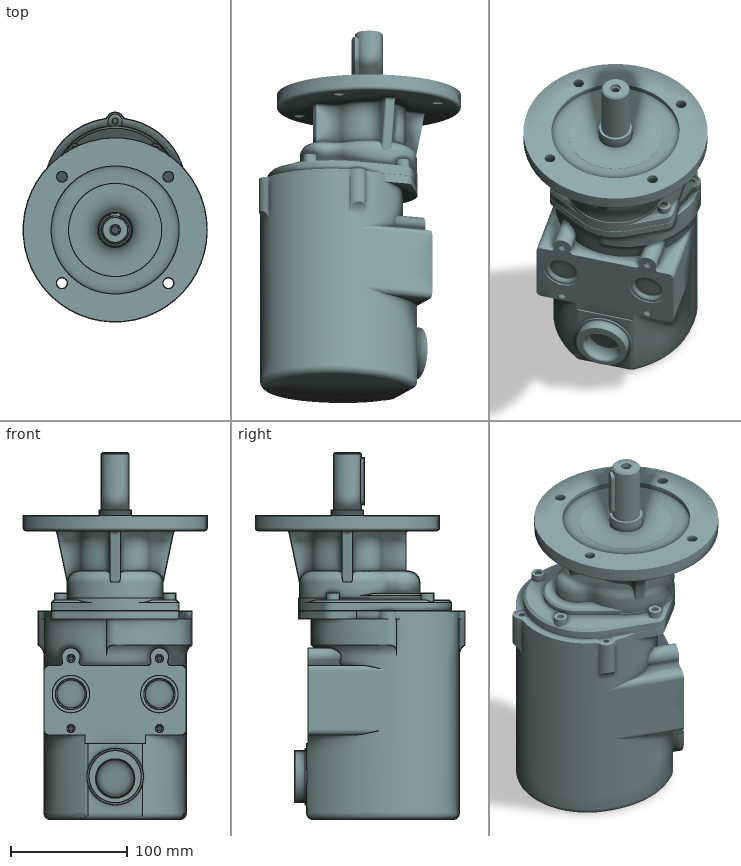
import cadquery as cq
import math

tolerance = 0.03

shaft_dia = 24.0
collar_dia = 28.0
shaft_top = 315.0
collar_top = 265.5
shaft_chamfer = 1.3
centre_hole_dia = 6.5
centre_hole_mouth = 9.0
centre_hole_mouth_depth = 2.5
centre_hole_depth = 15.8
key_width = 8.8
key_height_y = 14.5
key_bottom = 270.0
key_top = 310.5

flange_dia = 158.0
flange_top = 260.8
flange_bottom = 248.0
flange_edge_round = 2.5
spigot_dia = 110.0
spigot_depth = 4.7
seal_dia = 80.0
seal_height = 0.3
seal_gap_dia = 30.0
seal_gap_depth = 2.0
mount_hole_dia = 9.0
mount_hole_offset = 45.7

neck_radius = 31.0
neck_fillet = 10.0
rib_width = 8.8
rib_reach_top = 50.5
rib_reach_low = 41.3
rib_bottom = 204.0
rib_edge_round = 1.5
rib_root_fillet = 2.0

head_radius = 41.3
head_top = 213.3
head_round = 10.0
lobe_radius = 19.2
lobe_y = 43.0
lobe_blend = 10.0
pad_lobe_radius = 29.5
pad_top = 194.0
pad_chamfer = 1.5
nose_radius = 42.0
nose_top = 190.3

drum_y = 35.0
drum_radius = 61.0
drum_top = 179.0
rim_bottom = 172.3
cover_radius = 54.5
cover_top = 188.5
gasket_height = 0.5
gasket_inset = 0.3
cover_chamfer = 2.2
corner_radius = 8.2
corner_x = 46.5
corner_y = -12.3
cover_screws = [(-corner_x, corner_y), (corner_x, corner_y), (-34.5, 68.7), (34.5, 68.7)]
screw_head_dia = 11.0
screw_head_top = 194.5
socket_width = 6.0
socket_depth = 2.8

lug_radius = 7.5
lug_reach = 66.0
lug_bottom = 150.0
lug_foot_fillet = 10.0
lug_rim_blend = 5.0
lug_hole_dia = 5.0
lug_hole_depth = 3.0
lug_spot_dia = 12.0
lug_spot_depth = 1.0

block_front = -34.0
block_bottom = 72.5
block_top = 132.3
block_corner = 4.7
ear_radius = 8.0
ear_z = 139.5
ear_blend = 3.0
port_x = 37.95
port_z = 107.7
port_mouth_dia = 32.0
port_mouth_depth = 1.0
port_dia = 24.3
port_rim_dia = 26.8
port_depth = 4.7
tapped_hole_dia = 4.5
tapped_hole_mouth = 7.0
tapped_hole_depth = 12.5
tapped_hole_low_z = 78.0
tapped_hole_high_z = 138.3

connector_front = -35.0
connector_half_width = 25.8
connector_edge_width = 2.5
connector_top = 65.2
side_flat_y = 30.5
base_round = 5.7

ring_z = 37.0
ring_front = -45.5
ring_dia = 44.7
ring_foot_dia = 48.5
ring_foot_height = 1.3
ring_bore_z = 35.3
ring_bore_dia = 32.0
ring_bore_mouth = 33.7
ring_bore_depth = 15.8


def disc(x, y, radius, bottom, top):
    """Upright cylinder."""
    return cq.Workplane("XY", origin=(x, y, bottom)).circle(radius).extrude(top - bottom)


def belt(first, first_radius, second, second_radius, bottom, top):
    """Upright prism around two circles and their outer tangent lines."""
    dx = second[0] - first[0]
    dy = second[1] - first[1]
    heading = math.atan2(dy, dx)
    spread = math.acos((first_radius - second_radius) / math.hypot(dx, dy))

    def touch(centre, radius, angle):
        return (centre[0] + radius * math.cos(angle), centre[1] + radius * math.sin(angle))

    left, right = heading + spread, heading - spread
    outline = (
        cq.Workplane("XY", origin=(0, 0, bottom))
        .moveTo(*touch(first, first_radius, right))
        .lineTo(*touch(second, second_radius, right))
        .threePointArc(touch(second, second_radius, heading), touch(second, second_radius, left))
        .lineTo(*touch(first, first_radius, left))
        .threePointArc(touch(first, first_radius, heading + math.pi), touch(first, first_radius, right))
        .close()
    )
    return outline.extrude(top - bottom)


def distance_from_axis(edge):
    """Distance of an edge's middle from the Z axis."""
    return math.hypot(edge.Center().x, edge.Center().y)


def front_disc(x, z, dia, y_front, depth):
    """Cylinder along Y that starts at y_front and runs towards +Y."""
    return cq.Workplane("XZ", origin=(x, y_front, z)).circle(dia / 2).extrude(-depth)


def front_cone(x, z, mouth_dia, bore_dia, y_front):
    """45 degree countersink along +Y."""
    depth = (mouth_dia - bore_dia) / 2
    cone = cq.Solid.makeCone(mouth_dia / 2, bore_dia / 2, depth, cq.Vector(x, y_front, z), cq.Vector(0, 1, 0))
    return cq.Workplane(cone)


def make_shaft():
    collar = disc(0, 0, collar_dia / 2, flange_bottom, collar_top)
    shaft = disc(0, 0, shaft_dia / 2, collar_top, shaft_top).faces(">Z").chamfer(shaft_chamfer)
    shaft = shaft.cut(disc(0, 0, centre_hole_mouth / 2, shaft_top - centre_hole_mouth_depth, shaft_top))
    shaft = shaft.cut(disc(0, 0, centre_hole_dia / 2, shaft_top - centre_hole_depth, shaft_top))
    key = (
        cq.Workplane("XZ", origin=(0, key_height_y, (key_bottom + key_top) / 2))
        .slot2D(key_top - key_bottom, key_width, 90)
        .extrude(key_height_y - centre_hole_mouth / 2)
    )
    return collar.union(shaft).union(key)


def make_flange():
    flange = disc(0, 0, flange_dia / 2, flange_bottom, flange_top)
    flange = flange.faces("<Z").edges().fillet(flange_edge_round)
    spigot_floor = flange_top - spigot_depth
    seal_top = spigot_floor + seal_height
    flange = flange.cut(disc(0, 0, spigot_dia / 2, spigot_floor, flange_top))
    flange = flange.union(disc(0, 0, seal_dia / 2, flange_bottom, seal_top))
    flange = flange.cut(disc(0, 0, seal_gap_dia / 2, seal_top - seal_gap_depth, seal_top))
    for x in (-mount_hole_offset, mount_hole_offset):
        for y in (-mount_hole_offset, mount_hole_offset):
            flange = flange.cut(disc(x, y, mount_hole_dia / 2, flange_bottom, flange_top))
    return flange


def make_neck():
    """Round neck with four ribs; all but the +Y rib taper downwards."""
    height = flange_bottom - rib_bottom
    bars = cq.Workplane("XY", origin=(0, 0, rib_bottom))
    neck = disc(0, 0, neck_radius, rib_bottom, flange_bottom)
    neck = neck.union(bars.rect(2 * rib_reach_top, rib_width).extrude(height))
    neck = neck.union(bars.rect(rib_width, 2 * rib_reach_top).extrude(height))
    inner = cq.selectors.BoxSelector(
        (-neck_radius, -neck_radius, 0), (neck_radius, neck_radius, shaft_top)
    )
    neck = neck.edges("|Z").edges(inner).fillet(neck_fillet)
    trim = (
        cq.Workplane("XZ", origin=(0, rib_width, 0))
        .polyline([
            (rib_reach_low, rib_bottom),
            (rib_reach_top, flange_bottom),
            (flange_dia / 2, flange_bottom),
            (flange_dia / 2, rib_bottom),
        ])
        .close()
        .extrude(2 * rib_width)
    )
    for angle in (0, 180, 270):
        neck = neck.cut(trim.rotate((0, 0, 0), (0, 0, 1), angle))
    outer_edges = [
        edge
        for edge in neck.edges().vals()
        if distance_from_axis(edge) > neck_radius + neck_fillet
        and edge.BoundingBox().zlen > head_round
    ]
    return neck.newObject(outer_edges).fillet(rib_edge_round)


def make_gear_head():
    head = disc(0, 0, head_radius, drum_top, head_top)
    head = head.union(belt((0, 0), lobe_radius, (0, lobe_y), lobe_radius, drum_top, head_top))
    notch = cq.selectors.BoxSelector(
        (-lobe_radius - 0.3, 0, 0), (lobe_radius + 0.3, lobe_y - 0.3, shaft_top)
    )
    head = head.edges("|Z").edges(notch).fillet(lobe_blend)
    head = head.faces(">Z").edges().fillet(head_round)
    pad = belt((0, 0), head_radius, (0, lobe_y), pad_lobe_radius, drum_top, pad_top)
    pad = pad.faces(">Z").edges().chamfer(pad_chamfer)
    return head.union(pad)


def cover_outline(inset, bottom, top):
    """Prism around the drum end, the shaft nose and the two front corners."""
    drum_end = cover_radius - inset
    nose = nose_radius - inset
    corner_end = corner_radius - inset
    outline = disc(0, drum_y, drum_end, bottom, top)
    for corner in [(-corner_x, corner_y), (corner_x, corner_y)]:
        outline = outline.union(belt((0, 0), nose, corner, corner_end, bottom, top))
        outline = outline.union(belt((0, drum_y), drum_end, corner, corner_end, bottom, top))
    return outline.clean()


def make_cover():
    gasket_top = drum_top + gasket_height
    rim = cover_outline(0, rim_bottom, drum_top)
    gasket = cover_outline(gasket_inset, drum_top, gasket_top)
    cover = cover_outline(0, gasket_top, cover_top)
    cover = cover.faces(">Z").edges().chamfer(cover_chamfer)
    cover = cover.union(gasket).union(rim)
    cover = cover.union(disc(0, 0, nose_radius, gasket_top, nose_top))
    for x, y in cover_screws:
        head = disc(x, y, screw_head_dia / 2, gasket_top, screw_head_top)
        socket = (
            cq.Workplane("XY", origin=(x, y, screw_head_top))
            .polygon(6, socket_width / math.cos(math.pi / 6))
            .extrude(-socket_depth)
        )
        cover = cover.union(head).cut(socket)
    return cover


def make_lug_ring(sweep, top):
    """Ring sector about the Z axis from -Y towards +X, its foot flowing concavely into the drum."""
    foot_centre = drum_radius + lug_foot_fillet
    meet = math.acos((foot_centre - lug_reach) / lug_foot_fillet)
    foot_z = lug_bottom - lug_foot_fillet * math.sin(meet)
    mid_x = foot_centre - lug_foot_fillet * math.cos(meet / 2)
    mid_z = foot_z + lug_foot_fillet * math.sin(meet / 2)
    return (
        cq.Workplane("XZ")
        .moveTo(0, foot_z)
        .lineTo(drum_radius, foot_z)
        .threePointArc((mid_x, mid_z), (lug_reach, lug_bottom))
        .lineTo(lug_reach, top)
        .lineTo(0, top)
        .close()
        .revolve(sweep, (0, 0, 0), (0, 1, 0))
        .rotate((0, 0, 0), (0, 0, 1), -90)
    )


def make_lug_bars(bottom, top):
    """Two crossed round-ended bars that give the plan of the four lugs."""
    centre = lug_reach - lug_radius
    bar = belt((-centre, 0), lug_radius, (centre, 0), lug_radius, bottom, top)
    return bar.union(bar.rotate((0, 0, 0), (0, 0, 1), 90))


def make_lug_recess(angle):
    """Spot face and socket in the top of a lug."""
    centre = lug_reach - lug_radius
    spot_radius = lug_spot_dia / 2
    recess = belt((0, 0), spot_radius, (centre, 0), spot_radius, drum_top - lug_spot_depth, drum_top)
    recess = recess.cut(disc(0, 0, cover_radius, drum_top - lug_spot_depth, drum_top))
    recess = recess.union(disc(centre, 0, lug_hole_dia / 2, drum_top - lug_hole_depth, drum_top))
    return recess.rotate((0, 0, 0), (0, 0, 1), angle).translate((0, drum_y, 0))


def make_housing():
    """Drum with a lower body whose flanks curve from the drum sides in to the flat connector face."""
    edge_y = block_front
    inset = drum_radius - connector_half_width
    drop = side_flat_y - edge_y
    flank_radius = (inset**2 + drop**2) / (2 * inset)
    flank_centre = drum_radius - flank_radius
    half_angle = math.atan2(drop, connector_half_width - flank_centre) / 2
    mid_x = flank_centre + flank_radius * math.cos(half_angle)
    mid_y = side_flat_y - flank_radius * math.sin(half_angle)
    face_half = connector_half_width - connector_edge_width
    body = (
        cq.Workplane("XY")
        .moveTo(-drum_radius, drum_y)
        .lineTo(-drum_radius, side_flat_y)
        .threePointArc((-mid_x, mid_y), (-connector_half_width, edge_y))
        .lineTo(-face_half, connector_front)
        .lineTo(face_half, connector_front)
        .lineTo(connector_half_width, edge_y)
        .threePointArc((mid_x, mid_y), (drum_radius, side_flat_y))
        .lineTo(drum_radius, drum_y)
        .close()
        .extrude(block_bottom + block_corner)
    )
    upper_front = (
        cq.Workplane("XY")
        .box(2 * drum_radius, drum_y, block_top, centered=(True, False, False))
        .translate((0, block_front - drum_y, connector_top))
    )
    body = body.union(disc(0, drum_y, drum_radius, 0, rim_bottom))
    body = body.faces("<Z").edges().fillet(base_round)
    return body.cut(upper_front)


def make_drum():
    """Housing with its four lugs, the raised quarter band and the blended rim."""
    drum = make_housing()
    lugs = make_lug_ring(360, rim_bottom).intersect(make_lug_bars(block_top, rim_bottom))
    raised = lugs.union(make_lug_ring(90, rim_bottom))
    rim = disc(0, 0, drum_radius, rim_bottom, drum_top).union(make_lug_bars(rim_bottom, drum_top))
    rim_roots = [
        edge
        for edge in rim.edges("|Z").vals()
        if abs(distance_from_axis(edge) - drum_radius) < tolerance
    ]
    rim = rim.newObject(rim_roots).fillet(lug_rim_blend)
    drum = drum.union(raised.union(rim).translate((0, drum_y, 0)))
    for angle in range(0, 360, 90):
        drum = drum.cut(make_lug_recess(angle))
    return drum


def make_port_block():
    depth = drum_y - block_front
    height = block_top - block_bottom
    face = cq.Workplane("XZ", origin=(0, drum_y, 0))
    block = face.center(0, block_bottom + height / 2).rect(2 * drum_radius, height).extrude(depth)
    block = block.edges("|Y").fillet(block_corner)
    for x in (-port_x, port_x):
        ear = face.center(x, ear_z).circle(ear_radius).extrude(depth)
        block = block.union(ear)
    chord_half = math.sqrt(ear_radius**2 - (ear_z - block_top) ** 2)
    root_edges = [
        edge
        for edge in block.edges("|Y").vals()
        if abs(edge.Center().z - block_top) < tolerance
        and abs(abs(abs(edge.Center().x) - port_x) - chord_half) < tolerance
    ]
    return block.newObject(root_edges).fillet(ear_blend)


def cut_block_holes(body):
    port_floor = block_front + port_mouth_depth
    for x in (-port_x, port_x):
        body = body.cut(front_disc(x, port_z, port_mouth_dia, block_front, port_mouth_depth))
        body = body.cut(front_disc(x, port_z, port_dia, block_front, port_depth))
        body = body.cut(front_cone(x, port_z, port_rim_dia, port_dia, port_floor))
        for z in (tapped_hole_low_z, tapped_hole_high_z):
            body = body.cut(front_disc(x, z, tapped_hole_dia, block_front, tapped_hole_depth))
            body = body.cut(front_cone(x, z, tapped_hole_mouth, tapped_hole_dia, block_front))
    return body


def add_connector_ring(body):
    length = drum_y - ring_front
    foot_front = connector_front - ring_foot_height
    body = body.union(front_disc(0, ring_z, ring_dia, ring_front, length))
    body = body.union(front_disc(0, ring_z, ring_foot_dia, foot_front, drum_y - foot_front))
    body = body.cut(front_disc(0, ring_bore_z, ring_bore_dia, ring_front, ring_bore_depth))
    return body.cut(front_cone(0, ring_bore_z, ring_bore_mouth, ring_bore_dia, ring_front))


def make_gearbox():
    body = make_flange().union(make_neck())
    underside = cq.selectors.BoxSelector(
        (-flange_dia, -flange_dia, flange_bottom - tolerance),
        (flange_dia, flange_dia, flange_bottom + tolerance),
    )
    flange_roots = [
        edge
        for edge in body.faces(underside).edges().vals()
        if distance_from_axis(edge) < rib_reach_top + 0.3
    ]
    body = body.newObject(flange_roots).fillet(rib_root_fillet)
    return body.union(make_gear_head()).union(make_cover()).union(make_shaft())


motor = make_drum().union(make_port_block())
motor = add_connector_ring(cut_block_holes(motor))
result = motor.union(make_gearbox()).clean()